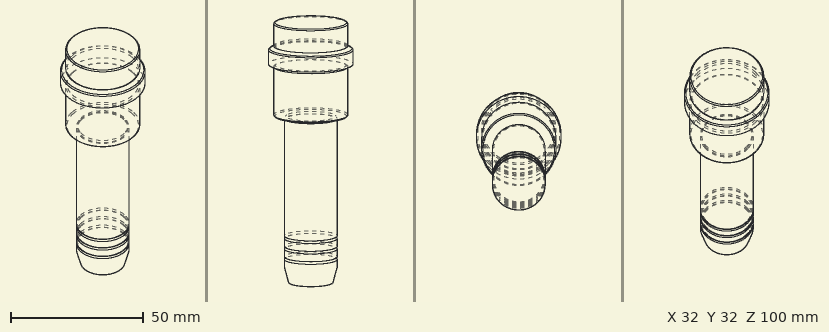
import cadquery as cq
import math

collar_radius = 16.0
head_radius = 14.0
shank_radius = 10.0

total_height = 100.0
collar_top = 90.0
collar_bottom = 84.0
shoulder_height = 64.0
nose_height = 6.0

edge_chamfer = 0.5
tip_fillet = 0.5
nose_half_angle = 15.0
groove_radius = 0.5
groove_width = 2 * groove_radius
ring_groove_count = 3
ring_groove_pitch = 4.0
first_ring_groove = 9.0


def cylinder(radius, bottom, top):
    """Upright cylinder on the Z axis."""
    return cq.Workplane("XY").workplane(offset=bottom).circle(radius).extrude(top - bottom)


def make_shank():
    """Slim shank with a tapered nose and a rounded tip edge."""
    tip_radius = shank_radius - nose_height * math.tan(math.radians(nose_half_angle))
    profile = [
        (0, 0),
        (tip_radius, 0),
        (shank_radius, nose_height),
        (shank_radius, shoulder_height),
        (0, shoulder_height),
    ]
    shank = cq.Workplane("XZ").polyline(profile).close().revolve(360, (0, 0, 0), (0, 1, 0))
    return shank.faces("<Z").edges().fillet(tip_fillet)


def make_head():
    """Thick upper body, chamfered at both ends."""
    return cylinder(head_radius, shoulder_height, total_height).faces("<Z or >Z").chamfer(edge_chamfer)


def make_collar():
    """Collar around the head, chamfered on its upper edge only."""
    return cylinder(collar_radius, collar_bottom, collar_top).faces(">Z").chamfer(edge_chamfer)


def round_groove(radius, bottom):
    """Half-round ring groove cutter centred on a cylinder of the given radius."""
    section = cq.Workplane("XZ").center(radius, bottom + groove_radius).circle(groove_radius)
    return section.revolve(360, (-radius, 0, 0), (-radius, 1, 0))


def relief_groove(radius, bottom):
    """Square ring groove cutter, as deep as the half-round grooves."""
    top = bottom + groove_width
    return cylinder(radius, bottom, top).cut(cylinder(radius - groove_radius, bottom, top))


result = make_shank().union(make_head()).union(make_collar())

result = result.cut(round_groove(head_radius, collar_top))
result = result.cut(round_groove(head_radius, collar_bottom - groove_width))

result = result.cut(relief_groove(shank_radius, shoulder_height - groove_width))

for index in range(ring_groove_count):
    result = result.cut(round_groove(shank_radius, first_ring_groove + index * ring_groove_pitch))